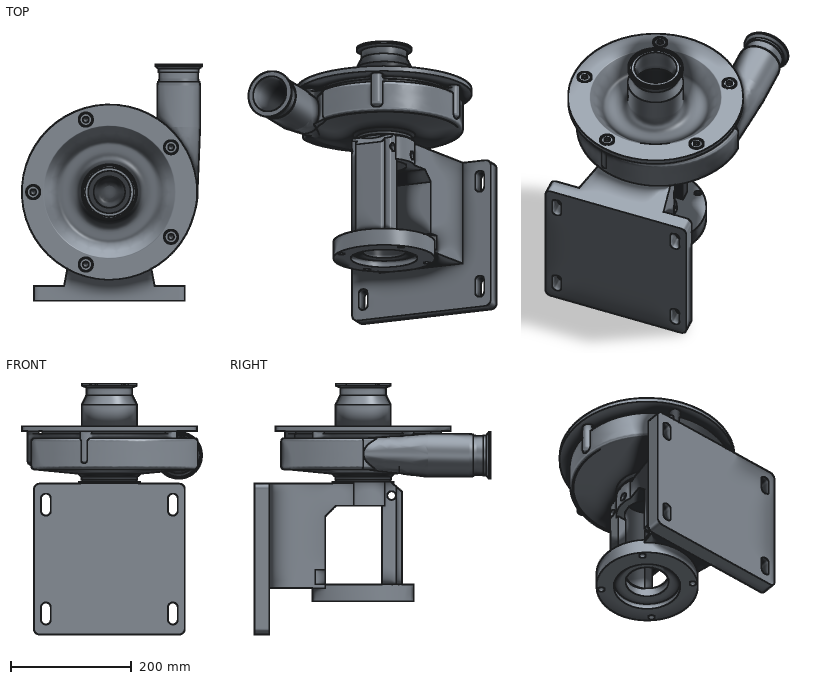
import cadquery as cq
import math


PLATE_SIZE = 250.0
PLATE_THICKNESS = 25.0
PLATE_FRONT_Y = -180.0
PLATE_BACK_Y = PLATE_FRONT_Y + PLATE_THICKNESS
PLATE_CORNER_RADIUS = 10.0
SLOT_LENGTH = 36.0
SLOT_WIDTH = 16.0
SLOT_SPACING_X = 210.0
SLOT_SPACING_Z = 180.0

BORE_RADIUS = 37.0
BOSS_RADIUS = 51.0
BOSS_TOP = 3.0
BOSS_BOTTOM = -37.0
BOSS_HOLE_DIAMETER = 14.0
BOSS_HOLE_Z = -24.0

WEB_FRONT_HALF_WIDTH = 75.0
WEB_REAR_HALF_WIDTH = 48.5
WEB_REAR_Y = -math.sqrt(BOSS_RADIUS**2 - WEB_REAR_HALF_WIDTH**2)
WEB_INNER_Y = -62.5
WEB_BOTTOM = -173.0
WEB_CHAMFER = 17.5
NOTCH_SIZE = 16.5
NOTCH_HEIGHT = 24.0

RING_RADIUS = 84.0
RING_TOP = -167.0
RING_THICKNESS = 28.0
RING_BORE_RADIUS = 35.5
RING_RECESS_RADIUS = 55.0
RING_RECESS_DEPTH = 10.5
RING_HOLE_CIRCLE_RADIUS = 76.0
RING_HOLE_DIAMETER = 11.0
RING_HOLE_COUNT = 4

COLUMN_HALF_WIDTH = 36.5
COLUMN_INNER_Y = 31.0
COLUMN_SHOULDER_Y = 54.5
COLUMN_OUTER_Y = 64.5
COLUMN_RIB_HALF_WIDTH = 25.0
COLUMN_EDGE_RADIUS = 4.8
COLUMN_CHAMFER_DEPTH = 19.0
COLUMN_CHAMFER_HEIGHT = 16.5
COLUMN_HOLE_DIAMETER = 14.0
COLUMN_HOLE_Y = 47.0
COLUMN_HOLE_Z = -20.0

CASING_BOTTOM = 23.0
CASING_TOP = 75.2
CASING_EDGE_RADIUS = 6.0
SPIRAL_END_RADIUS = 146.5
SPIRAL_BASE_RADIUS = 125.7
SPIRAL_GROWTH_EXPONENT = 2.5
SPIRAL_START_ANGLE = 60.0
SPIRAL_POINT_COUNT = 11
THROAT_OUTER_X = 146.0
THROAT_HALF_HEIGHT = 25.5
HUB_OUTER_RADIUS = 124.0
HUB_INNER_RADIUS = 51.5
HUB_CONE_BOTTOM = 16.0
HUB_NECK_RADIUS = 46.5
HUB_NECK_TOP = 11.0
HUB_NECK_BOTTOM = 6.0
HUB_FOOT_RADIUS = 45.0

COVER_RADIUS = 145.0
COVER_TOP = 95.0
COVER_BOTTOM = 86.5
COLLAR_RADIUS = 113.0
SPIGOT_RADIUS = 111.5
DISH_FLOOR = 70.0
DISH_RADIUS = 109.0
DISH_RIM_FILLET = 3.0
DISH_FLOOR_FILLET = 14.0
DISH_INLET_FILLET = 20.0
SCREW_COUNT = 5
SCREW_CIRCLE_RADIUS = 126.0
POST_RADIUS = 9.6
POST_BOTTOM = 30.0
POST_END_RADIUS = 8.0
LUG_TOP = 82.0
LUG_FILLET = 10.5
LUG_ROOT_X = 104.0
SCREW_RECESS_RADIUS = 12.0
SCREW_HEAD_RADIUS = 10.2
SCREW_RECESS_DEPTH = 2.0
SOCKET_RADIUS = 5.0
SOCKET_DEPTH = 5.0
SOCKET_TIP = 3.0

INLET_TOP = 165.0
INLET_PIPE_RADIUS = 46.0
INLET_PIPE_TOP = 130.0
INLET_NECK_RADIUS = 38.1
INLET_NECK_BOTTOM = 146.0
INLET_FLANGE_RADIUS = 45.5
INLET_FLANGE_EDGE = 3.5
INLET_FLANGE_HEIGHT = 6.5
INLET_BORE_RADIUS = 35.0
INLET_BORE_END = 126.0
INLET_CHAMBER_RADIUS = 42.0
EYE_FLOOR = 60.0
EYE_RADIUS = 26.0
EYE_FLAT_RADIUS = 10.5
GASKET_GROOVE_RADIUS = 42.0
GASKET_GROOVE_WIDTH = 3.0
GASKET_GROOVE_DEPTH = 1.5

OUTLET_X = 114.65
OUTLET_Z = 46.5
OUTLET_FACE_Y = 211.0
OUTLET_PIPE_START_Y = 107.5
OUTLET_PIPE_END_Y = 176.0
OUTLET_PIPE_RADIUS = 35.8
OUTLET_STEP_RADIUS = 34.8
OUTLET_STEP_Y = 182.0
OUTLET_NECK_RADIUS = 32.5
OUTLET_NECK_START_Y = 187.5
OUTLET_COLLAR_RADIUS = 33.5
OUTLET_COLLAR_START_Y = 198.5
OUTLET_COLLAR_END_Y = 203.5
OUTLET_FLANGE_RADIUS = 38.75
OUTLET_FLANGE_EDGE_Y = 208.0
OUTLET_BORE_RADIUS = 30.0
OUTLET_BORE_END_Y = 60.0


def cylinder(radius, bottom, top):
    """Cylinder on the pump axis between two heights."""
    return cq.Workplane("XY").workplane(offset=bottom).circle(radius).extrude(top - bottom)


def block(x_range, y_range, z_range):
    """Axis-aligned block given by its limits."""
    size = [high - low for low, high in (x_range, y_range, z_range)]
    return cq.Workplane("XY").box(*size, centered=False).translate((x_range[0], y_range[0], z_range[0]))


def turned(profile):
    """Solid of revolution about Z from (radius, z) points."""
    return cq.Workplane("XZ").polyline(profile).close().revolve(360, (0, 0, 0), (0, 1, 0))


def around_screws(shape):
    """Copies of a shape modelled on the +X axis, turned to every screw position."""
    copies = cq.Workplane("XY")
    for index in range(SCREW_COUNT):
        angle = 180.0 + index * 360.0 / SCREW_COUNT
        copies = copies.add(shape.rotate((0, 0, 0), (0, 0, 1), angle))
    return copies.combine()


def base_plate():
    centre_z = -PLATE_SIZE / 2
    plate = block(
        (-PLATE_SIZE / 2, PLATE_SIZE / 2), (PLATE_FRONT_Y, PLATE_BACK_Y), (-PLATE_SIZE, 0)
    ).edges("|Y").fillet(PLATE_CORNER_RADIUS)
    slots = (
        cq.Workplane("XZ", origin=(0, PLATE_BACK_Y, centre_z))
        .rarray(SLOT_SPACING_X, SLOT_SPACING_Z, 2, 2)
        .slot2D(SLOT_LENGTH, SLOT_WIDTH, 90)
        .extrude(PLATE_THICKNESS)
    )
    return plate.cut(slots)


def web():
    """Tapered web between plate and boss, with an L-shaped side outline."""
    plan = (
        cq.Workplane("XY", origin=(0, 0, WEB_BOTTOM))
        .moveTo(-WEB_FRONT_HALF_WIDTH, PLATE_BACK_Y)
        .lineTo(WEB_FRONT_HALF_WIDTH, PLATE_BACK_Y)
        .lineTo(WEB_REAR_HALF_WIDTH, WEB_REAR_Y)
        .lineTo(-WEB_REAR_HALF_WIDTH, WEB_REAR_Y)
        .close()
        .extrude(-WEB_BOTTOM)
    )
    side = (
        cq.Workplane("YZ", origin=(-WEB_FRONT_HALF_WIDTH, 0, 0))
        .moveTo(PLATE_BACK_Y, 0)
        .lineTo(WEB_REAR_Y, 0)
        .lineTo(WEB_REAR_Y, BOSS_BOTTOM)
        .lineTo(WEB_INNER_Y + WEB_CHAMFER, BOSS_BOTTOM)
        .lineTo(WEB_INNER_Y, BOSS_BOTTOM - WEB_CHAMFER)
        .lineTo(WEB_INNER_Y, WEB_BOTTOM)
        .lineTo(PLATE_BACK_Y, WEB_BOTTOM)
        .close()
        .extrude(2 * WEB_FRONT_HALF_WIDTH)
    )
    return plan.intersect(side)


def web_notches():
    """45 degree corner cuts in the web that clear the two front ring screws."""
    taper = (WEB_FRONT_HALF_WIDTH - WEB_REAR_HALF_WIDTH) / (WEB_REAR_Y - PLATE_BACK_Y)
    notch_y = WEB_INNER_Y - NOTCH_SIZE
    side_x = WEB_FRONT_HALF_WIDTH - taper * (notch_y - PLATE_BACK_Y)
    right = (
        cq.Workplane("XY", origin=(0, 0, RING_TOP))
        .moveTo(side_x, notch_y)
        .lineTo(side_x - NOTCH_SIZE, WEB_INNER_Y)
        .lineTo(side_x, WEB_INNER_Y)
        .close()
        .extrude(NOTCH_HEIGHT)
    )
    return right.union(right.mirror("YZ"))


def column():
    """Rear column with an outer rib and a sloped top, and the cross hole to cut through it."""
    base_width = (-COLUMN_HALF_WIDTH, COLUMN_HALF_WIDTH)
    rib_width = (-COLUMN_RIB_HALF_WIDTH, COLUMN_RIB_HALF_WIDTH)
    height = (RING_TOP, BOSS_TOP)
    base = block(base_width, (COLUMN_INNER_Y, COLUMN_SHOULDER_Y), height)
    rib = block(rib_width, (COLUMN_INNER_Y, COLUMN_OUTER_Y), height)
    base = base.edges("|Z and >Y").fillet(COLUMN_EDGE_RADIUS)
    rib = rib.edges("|Z and >Y").fillet(COLUMN_EDGE_RADIUS)
    slope = (
        cq.Workplane("YZ", origin=(-COLUMN_HALF_WIDTH, 0, 0))
        .moveTo(COLUMN_OUTER_Y, BOSS_TOP)
        .lineTo(COLUMN_OUTER_Y - COLUMN_CHAMFER_DEPTH, BOSS_TOP)
        .lineTo(COLUMN_OUTER_Y, BOSS_TOP - COLUMN_CHAMFER_HEIGHT)
        .close()
        .extrude(2 * COLUMN_HALF_WIDTH)
    )
    hole = (
        cq.Workplane("YZ", origin=(-COLUMN_HALF_WIDTH, COLUMN_HOLE_Y, COLUMN_HOLE_Z))
        .circle(COLUMN_HOLE_DIAMETER / 2)
        .extrude(2 * COLUMN_HALF_WIDTH)
    )
    return base.union(rib).cut(slope), hole


def bracket():
    column_body, column_hole = column()
    ring_bottom = RING_TOP - RING_THICKNESS
    ring_holes = (
        cq.Workplane("XY", origin=(0, 0, ring_bottom))
        .polarArray(RING_HOLE_CIRCLE_RADIUS, 45, 360, RING_HOLE_COUNT)
        .circle(RING_HOLE_DIAMETER / 2)
        .extrude(RING_THICKNESS)
    )
    boss_hole = (
        cq.Workplane("YZ", origin=(-BOSS_RADIUS, 0, BOSS_HOLE_Z))
        .circle(BOSS_HOLE_DIAMETER / 2)
        .extrude(BOSS_RADIUS)
    )
    bore = cylinder(BORE_RADIUS, RING_TOP, BOSS_TOP)
    ring_bore = cylinder(RING_BORE_RADIUS, ring_bottom, RING_TOP)
    ring_recess = cylinder(RING_RECESS_RADIUS, ring_bottom, ring_bottom + RING_RECESS_DEPTH)
    upper = cylinder(BOSS_RADIUS, BOSS_BOTTOM, BOSS_TOP).union(column_body)
    upper = upper.cut(boss_hole).cut(column_hole)
    body = upper.union(cylinder(RING_RADIUS, ring_bottom, RING_TOP)).union(web().cut(web_notches()))
    body = body.cut(bore).cut(ring_bore).cut(ring_recess).cut(ring_holes)
    return body.union(base_plate())


def spiral_point(angle):
    """Point of the volute outline; the radius grows ever faster up to a full turn."""
    growth = SPIRAL_END_RADIUS - SPIRAL_BASE_RADIUS
    radius = SPIRAL_BASE_RADIUS + growth * (angle / 360.0) ** SPIRAL_GROWTH_EXPONENT
    return (radius * math.cos(math.radians(angle)), radius * math.sin(math.radians(angle)))


def volute():
    step = (360.0 - SPIRAL_START_ANGLE) / (SPIRAL_POINT_COUNT - 1)
    points = [spiral_point(SPIRAL_START_ANGLE + index * step) for index in range(SPIRAL_POINT_COUNT)]
    scroll = (
        cq.Workplane("XY", origin=(0, 0, CASING_BOTTOM))
        .moveTo(*points[0])
        .spline(points[1:], includeCurrent=True)
        .close()
        .extrude(CASING_TOP - CASING_BOTTOM)
        .faces("<Z or >Z")
        .edges()
        .fillet(CASING_EDGE_RADIUS)
    )
    hub = turned([
        (0, CASING_BOTTOM),
        (HUB_OUTER_RADIUS, CASING_BOTTOM),
        (HUB_INNER_RADIUS, HUB_CONE_BOTTOM),
        (HUB_NECK_RADIUS, HUB_NECK_TOP),
        (HUB_NECK_RADIUS, HUB_NECK_BOTTOM),
        (HUB_FOOT_RADIUS, HUB_NECK_BOTTOM),
        (HUB_FOOT_RADIUS, BOSS_TOP),
        (0, BOSS_TOP),
    ])
    cover_opening = cylinder(COLLAR_RADIUS, DISH_FLOOR, CASING_TOP)
    return scroll.union(hub).cut(cover_opening)


def screw_post():
    return (
        cq.Workplane("XY", origin=(SCREW_CIRCLE_RADIUS, 0, POST_BOTTOM))
        .circle(POST_RADIUS)
        .extrude(COVER_BOTTOM - POST_BOTTOM)
        .faces("<Z")
        .edges()
        .fillet(POST_END_RADIUS)
    )


def screw_lug():
    """Web from the collar to a post, flaring onto the collar with concave sides."""
    half_width = POST_RADIUS + LUG_FILLET
    root_x = math.sqrt(COLLAR_RADIUS**2 - half_width**2)
    bend_y = half_width - LUG_FILLET * math.cos(math.pi / 4)
    tip_x = root_x + LUG_FILLET
    middle_x = root_x + LUG_FILLET * (1 - math.sin(math.pi / 4))
    return (
        cq.Workplane("XY", origin=(0, 0, CASING_TOP - CASING_EDGE_RADIUS))
        .moveTo(LUG_ROOT_X, half_width)
        .lineTo(root_x, half_width)
        .threePointArc((middle_x, bend_y), (tip_x, POST_RADIUS))
        .lineTo(SCREW_CIRCLE_RADIUS, POST_RADIUS)
        .lineTo(SCREW_CIRCLE_RADIUS, -POST_RADIUS)
        .lineTo(tip_x, -POST_RADIUS)
        .threePointArc((middle_x, -bend_y), (root_x, -half_width))
        .lineTo(LUG_ROOT_X, -half_width)
        .close()
        .extrude(LUG_TOP - CASING_TOP + CASING_EDGE_RADIUS)
    )


def screw_recess():
    """Ring gap around a screw head and its socket, both open at the cover top."""
    floor = COVER_TOP - SCREW_RECESS_DEPTH
    gap = cylinder(SCREW_RECESS_RADIUS, floor, COVER_TOP).cut(cylinder(SCREW_HEAD_RADIUS, floor, COVER_TOP))
    socket = turned([
        (0, COVER_TOP),
        (SOCKET_RADIUS, COVER_TOP),
        (SOCKET_RADIUS, COVER_TOP - SOCKET_DEPTH),
        (0, COVER_TOP - SOCKET_DEPTH - SOCKET_TIP),
    ])
    return gap.union(socket).translate((SCREW_CIRCLE_RADIUS, 0, 0))


def cover():
    """Dished cover with its spigot, inlet pipe and inlet ferrule."""
    half_slope = math.radians(45.0 / 2)
    diagonal = math.sqrt(0.5)
    corner_radius = DISH_RADIUS - (COVER_TOP - DISH_FLOOR)
    tangent = DISH_FLOOR_FILLET * math.tan(half_slope)
    floor_edge = corner_radius - tangent
    bend = (
        floor_edge + DISH_FLOOR_FILLET * math.sin(half_slope),
        DISH_FLOOR + DISH_FLOOR_FILLET * (1 - math.cos(half_slope)),
    )
    slope_start = (corner_radius + tangent * diagonal, DISH_FLOOR + tangent * diagonal)
    inlet_bend = (
        INLET_PIPE_RADIUS + DISH_INLET_FILLET * (1 - diagonal),
        DISH_FLOOR + DISH_INLET_FILLET * (1 - diagonal),
    )
    rim_tangent = DISH_RIM_FILLET * math.tan(half_slope)
    rim_edge = DISH_RADIUS + rim_tangent
    rim_bend = (
        rim_edge - DISH_RIM_FILLET * math.sin(half_slope),
        COVER_TOP - DISH_RIM_FILLET * (1 - math.cos(half_slope)),
    )
    slope_end = (DISH_RADIUS - rim_tangent * diagonal, COVER_TOP - rim_tangent * diagonal)
    body = (
        cq.Workplane("XZ")
        .moveTo(0, CASING_BOTTOM)
        .lineTo(COLLAR_RADIUS, CASING_BOTTOM)
        .lineTo(COLLAR_RADIUS, LUG_TOP)
        .lineTo(SPIGOT_RADIUS, LUG_TOP)
        .lineTo(SPIGOT_RADIUS, COVER_BOTTOM)
        .lineTo(COVER_RADIUS, COVER_BOTTOM)
        .lineTo(COVER_RADIUS, COVER_TOP)
        .lineTo(rim_edge, COVER_TOP)
        .threePointArc(rim_bend, slope_end)
        .lineTo(*slope_start)
        .threePointArc(bend, (floor_edge, DISH_FLOOR))
        .lineTo(INLET_PIPE_RADIUS + DISH_INLET_FILLET, DISH_FLOOR)
        .threePointArc(inlet_bend, (INLET_PIPE_RADIUS, DISH_FLOOR + DISH_INLET_FILLET))
        .lineTo(INLET_PIPE_RADIUS, INLET_PIPE_TOP)
        .lineTo(INLET_NECK_RADIUS, INLET_NECK_BOTTOM)
        .lineTo(INLET_NECK_RADIUS, INLET_TOP - INLET_FLANGE_HEIGHT)
        .lineTo(INLET_FLANGE_RADIUS, INLET_TOP - INLET_FLANGE_EDGE)
        .lineTo(INLET_FLANGE_RADIUS, INLET_TOP)
        .lineTo(0, INLET_TOP)
        .close()
        .revolve(360, (0, 0, 0), (0, 1, 0))
    )
    return body.cut(gasket_groove())


def gasket_groove():
    floor = INLET_TOP - GASKET_GROOVE_DEPTH
    outer = cylinder(GASKET_GROOVE_RADIUS + GASKET_GROOVE_WIDTH / 2, floor, INLET_TOP)
    return outer.cut(cylinder(GASKET_GROOVE_RADIUS - GASKET_GROOVE_WIDTH / 2, floor, INLET_TOP))


def inlet_passage():
    """Inlet bore, the wider chamber below it and the bowl-shaped eye in its floor."""
    bowl_depth = EYE_RADIUS - EYE_FLAT_RADIUS
    bowl_bend = (
        EYE_FLAT_RADIUS + bowl_depth * math.sqrt(0.5),
        EYE_FLOOR - bowl_depth * math.sqrt(0.5),
    )
    return (
        cq.Workplane("XZ")
        .moveTo(0, INLET_TOP)
        .lineTo(INLET_BORE_RADIUS, INLET_TOP)
        .lineTo(INLET_BORE_RADIUS, INLET_BORE_END)
        .lineTo(INLET_CHAMBER_RADIUS, INLET_BORE_END)
        .lineTo(INLET_CHAMBER_RADIUS, EYE_FLOOR)
        .lineTo(EYE_RADIUS, EYE_FLOOR)
        .threePointArc(bowl_bend, (EYE_FLAT_RADIUS, EYE_FLOOR - bowl_depth))
        .lineTo(0, EYE_FLOOR - bowl_depth)
        .close()
        .revolve(360, (0, 0, 0), (0, 1, 0))
    )


def outlet():
    """Discharge pipe with its ferrule, and the transition from the end of the volute."""
    pipe = (
        cq.Workplane("XY")
        .polyline([
            (0, OUTLET_PIPE_START_Y),
            (OUTLET_PIPE_RADIUS, OUTLET_PIPE_START_Y),
            (OUTLET_PIPE_RADIUS, OUTLET_PIPE_END_Y),
            (OUTLET_STEP_RADIUS, OUTLET_STEP_Y),
            (OUTLET_COLLAR_RADIUS, OUTLET_STEP_Y),
            (OUTLET_NECK_RADIUS, OUTLET_NECK_START_Y),
            (OUTLET_NECK_RADIUS, OUTLET_COLLAR_START_Y),
            (OUTLET_COLLAR_RADIUS, OUTLET_COLLAR_START_Y),
            (OUTLET_COLLAR_RADIUS, OUTLET_COLLAR_END_Y),
            (OUTLET_FLANGE_RADIUS, OUTLET_FLANGE_EDGE_Y),
            (OUTLET_FLANGE_RADIUS, OUTLET_FACE_Y),
            (0, OUTLET_FACE_Y),
        ])
        .close()
        .revolve(360, (0, 0, 0), (0, 1, 0))
        .translate((OUTLET_X, 0, OUTLET_Z))
    )
    throat_z = (CASING_BOTTOM + CASING_TOP) / 2
    transition = (
        cq.Workplane("XZ", origin=(OUTLET_X, 0, throat_z))
        .ellipse(THROAT_OUTER_X - OUTLET_X, THROAT_HALF_HEIGHT)
        .workplane(offset=-OUTLET_PIPE_START_Y)
        .center(0, OUTLET_Z - throat_z)
        .circle(OUTLET_PIPE_RADIUS)
        .loft()
    )
    return pipe.union(transition)


def outlet_bore():
    return (
        cq.Workplane("XZ", origin=(OUTLET_X, OUTLET_FACE_Y, OUTLET_Z))
        .circle(OUTLET_BORE_RADIUS)
        .extrude(OUTLET_FACE_Y - OUTLET_BORE_END_Y)
    )


def pump():
    body = volute().union(outlet()).union(cover())
    body = body.union(around_screws(screw_lug())).union(around_screws(screw_post()))
    return body.cut(around_screws(screw_recess())).cut(inlet_passage()).cut(outlet_bore())


result = pump().union(bracket())